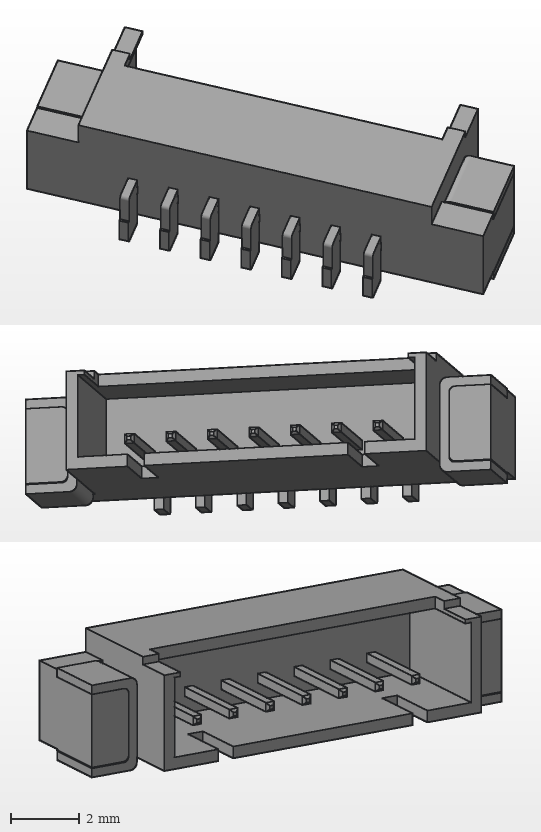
import cadquery as cq


TOTAL_LENGTH = 14.08
BODY_LENGTH = 10.9
BODY_DEPTH = 4.45
BODY_BOTTOM = 0.34
BODY_TOP = 3.53

FLOOR_THICKNESS = 0.37
ROOF_THICKNESS = 0.37
FRONT_WALL = 0.99
CAVITY_LENGTH = 10.2
ROOF_CUT_LENGTH = 9.8
ROOF_CUT_START = 2.73
RIM_STEP_DROP = 0.24
RIM_STEP_START = 3.24
FLOOR_SLOT_WIDTH = 0.5
FLOOR_SLOT_CENTRE = 3.34

EAR_DEPTH = 2.97
EAR_TOP = 2.8

TAB_TOP = 2.85
TAB_THICKNESS = 0.28
TAB_FRONT = 1.0
TAB_WALL_GAP = 0.04
TAB_OUTER_RADIUS = 0.23
TAB_INNER_RADIUS = 0.18
TAB_SIDE_GAP = 0.03
TAB_LOWER_GAP = 0.03

PIN_COUNT = 7
PIN_PITCH = 1.25
PIN_WIDTH = 0.28
ARM_BOTTOM = 1.24
ARM_THICKNESS = 0.28
ARM_END = 3.6
TIP_CHAMFER = 0.08
LEAD_TOP = 1.83
LEAD_BACK = -0.04
LEAD_UPPER_FRONT = -0.83
LEAD_FOOT_FRONT = -0.9
LEAD_FOOT_HEIGHT = 0.87
LEAD_UPPER_RADIUS = 0.11
LEAD_FOOT_RADIUS = 0.14

HALF_LENGTH = TOTAL_LENGTH / 2
HALF_BODY = BODY_LENGTH / 2
CAVITY_FLOOR = BODY_BOTTOM + FLOOR_THICKNESS
CAVITY_CEILING = BODY_TOP - ROOF_THICKNESS
RIM_STEP_TOP = BODY_TOP - RIM_STEP_DROP
SLOT_FRONT = TAB_FRONT - TAB_SIDE_GAP
TAB_LEG_FACE = HALF_BODY + TAB_WALL_GAP
CORE_START = TAB_LEG_FACE + TAB_THICKNESS
CORE_TOP = TAB_TOP - TAB_THICKNESS
CORE_BOTTOM = TAB_THICKNESS + TAB_LOWER_GAP


def block(x_range, y_range, z_range):
    """Box spanning the given (low, high) ranges."""
    (x0, x1), (y0, y1), (z0, z1) = x_range, y_range, z_range
    return cq.Workplane("XY").box(x1 - x0, y1 - y0, z1 - z0, centered=False).translate((x0, y0, z0))


def mirrored_pair(right_half):
    """The shape at +X and its mirror image at -X."""
    return [right_half, right_half.mirror("YZ")]


def make_shell():
    """Main box with the mating cavity, the cut-back roof and the slotted floor."""
    half_cavity = CAVITY_LENGTH / 2
    half_cut = ROOF_CUT_LENGTH / 2
    half_slot = FLOOR_SLOT_WIDTH / 2
    body_x = (-HALF_BODY, HALF_BODY)

    shell = block(body_x, (0, BODY_DEPTH), (BODY_BOTTOM, BODY_TOP))
    shell = shell.cut(
        block((-half_cavity, half_cavity), (FRONT_WALL, BODY_DEPTH), (CAVITY_FLOOR, CAVITY_CEILING))
    )
    shell = shell.cut(
        block((-half_cut, half_cut), (ROOF_CUT_START, BODY_DEPTH), (CAVITY_CEILING, BODY_TOP))
    )
    shell = shell.cut(block(body_x, (RIM_STEP_START, BODY_DEPTH), (RIM_STEP_TOP, BODY_TOP)))
    floor_slot = block(
        (FLOOR_SLOT_CENTRE - half_slot, FLOOR_SLOT_CENTRE + half_slot),
        (ROOF_CUT_START, BODY_DEPTH),
        (BODY_BOTTOM, CAVITY_FLOOR),
    )
    for slot in mirrored_pair(floor_slot):
        shell = shell.cut(slot)
    return shell


def make_ear():
    """Ear at +X: a full-height front part and a core behind it that the tab wraps around."""
    front = block((HALF_BODY, HALF_LENGTH), (0, SLOT_FRONT), (BODY_BOTTOM, EAR_TOP))
    core = block((CORE_START, HALF_LENGTH), (SLOT_FRONT, EAR_DEPTH), (CORE_BOTTOM, CORE_TOP))
    return front.union(core.edges("|Y and <X").fillet(TAB_INNER_RADIUS))


def make_pin(x):
    """Terminal at the given X: a blade through the front wall and an upright solder lead."""
    half_width = PIN_WIDTH / 2
    pin_x = (x - half_width, x + half_width)

    arm = block(pin_x, (LEAD_BACK, ARM_END), (ARM_BOTTOM, ARM_BOTTOM + ARM_THICKNESS))
    arm = arm.faces(">Y").chamfer(TIP_CHAMFER)
    upper = block(pin_x, (LEAD_UPPER_FRONT, LEAD_BACK), (0, LEAD_TOP))
    upper = upper.edges("|X and >Z and <Y").fillet(LEAD_UPPER_RADIUS)
    foot = block(pin_x, (LEAD_FOOT_FRONT, LEAD_BACK), (0, LEAD_FOOT_HEIGHT))
    foot = foot.edges("|X and <Z and <Y").fillet(LEAD_FOOT_RADIUS)
    upper = upper.cut(block(pin_x, (LEAD_FOOT_FRONT, LEAD_BACK), (0, LEAD_FOOT_HEIGHT)))
    return arm.union(upper).union(foot)


def make_housing():
    """Housing with its ears and the row of terminals fixed in the front wall."""
    housing = make_shell()
    for ear in mirrored_pair(make_ear()):
        housing = housing.union(ear)
    first_x = -PIN_PITCH * (PIN_COUNT - 1) / 2
    for index in range(PIN_COUNT):
        housing = housing.union(make_pin(first_x + index * PIN_PITCH))
    return housing


def make_solder_tab():
    """Tab at +X: top plate, leg beside the housing wall and solder plate, open outwards."""
    tab_y = (TAB_FRONT, EAR_DEPTH)
    tab = block((TAB_LEG_FACE, HALF_LENGTH), tab_y, (0, TAB_TOP))
    tab = tab.edges("|Y and <X").fillet(TAB_OUTER_RADIUS)
    inside = block((CORE_START, HALF_LENGTH), tab_y, (TAB_THICKNESS, CORE_TOP))
    return tab.cut(inside.edges("|Y and <X").fillet(TAB_INNER_RADIUS))


housing = make_housing()
solder_tabs = mirrored_pair(make_solder_tab())

result = cq.Compound.makeCompound([housing.val(), *[tab.val() for tab in solder_tabs]])